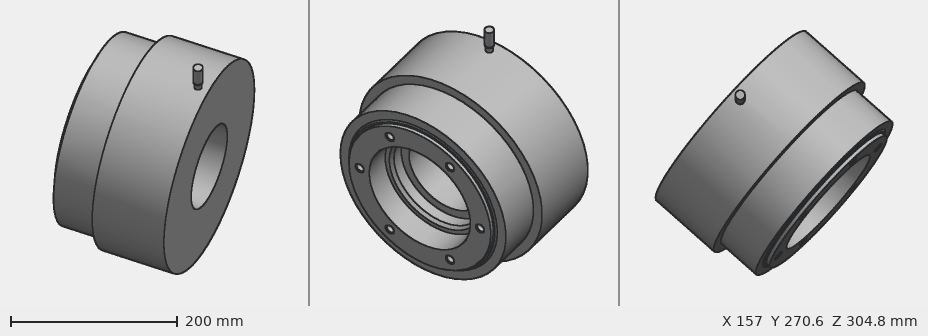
import cadquery as cq
import math

overall_length = 157.0
overall_height = 304.8

rim_radius = 135.3
rim_length = 94.0
body_radius = 122.5
spigot_radius = 105.0
spigot_length = 6.7

ring_outer_radius = 109.7
ring_inner_radius = 107.3
ring_slope = math.radians(30)
ring_height = (ring_outer_radius - ring_inner_radius) * math.tan(ring_slope)

entry_radius = 74.7
entry_depth = 32.5
seat_radius = 68.5
throat_radius = 65.5
throat_depth = 52.7
bore_radius = 54.0
seat_taper = math.radians(30)
seat_length = (seat_radius - throat_radius) / math.tan(seat_taper)

hole_count = 6
hole_circle_radius = 89.0
hole_radius = 5.2
hole_depth = 24.5
hole_mouth_radius = 6.5

pin_x = 142.3
knob_radius = 5.8
knob_length = 25.3
neck_radius = 4.5


def make_rings():
    """Turned body: a half section revolved about the X axis."""
    rim_start = overall_length - rim_length
    ring_face = spigot_length - ring_height
    outline = [
        (0, entry_radius),
        (0, spigot_radius),
        (ring_face, spigot_radius),
        (ring_face, ring_inner_radius),
        (spigot_length, ring_outer_radius),
        (spigot_length, body_radius),
        (rim_start, body_radius),
        (rim_start, rim_radius),
        (overall_length, rim_radius),
        (overall_length, bore_radius),
        (throat_depth, bore_radius),
        (throat_depth, throat_radius),
        (entry_depth + seat_length, throat_radius),
        (entry_depth, seat_radius),
        (entry_depth, entry_radius),
    ]
    return cq.Workplane("XY").polyline(outline).close().revolve(360, (0, 0, 0), (1, 0, 0))


def make_hole(index):
    """One blind hole with a 45 degree countersunk mouth, opening on the front face."""
    angle = math.radians(index * 360 / hole_count)
    y = hole_circle_radius * math.cos(angle)
    z = hole_circle_radius * math.sin(angle)
    mouth_depth = hole_mouth_radius - hole_radius
    profile = [
        (0, 0),
        (0, hole_mouth_radius),
        (mouth_depth, hole_radius),
        (hole_depth, hole_radius),
        (hole_depth, 0),
    ]
    hole = cq.Workplane("XY").polyline(profile).close().revolve(360, (0, 0, 0), (1, 0, 0))
    return hole.translate((0, y, z))


def make_pin():
    """Upright pin: a slim neck rooted in the rim wall, topped by a wider knob."""
    pin_top = overall_height - rim_radius
    knob_bottom = pin_top - knob_length
    root = (rim_radius + bore_radius) / 2
    neck = cq.Workplane("XY", origin=(pin_x, 0, root)).circle(neck_radius).extrude(knob_bottom - root)
    knob = cq.Workplane("XY", origin=(pin_x, 0, knob_bottom)).circle(knob_radius).extrude(knob_length)
    return neck.union(knob)


result = make_rings().union(make_pin())
for hole_index in range(hole_count):
    result = result.cut(make_hole(hole_index))